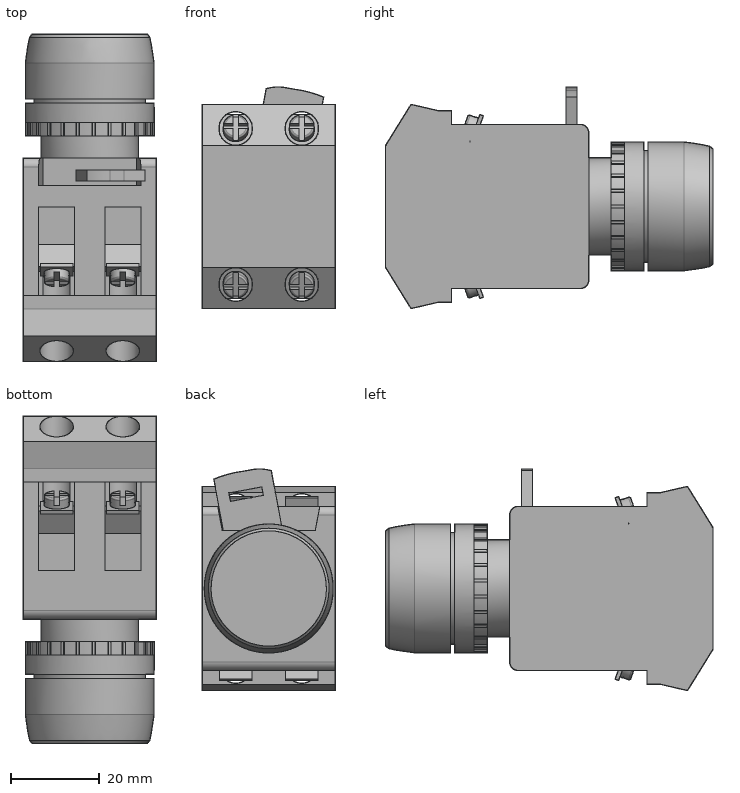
import cadquery as cq
import math

total_length = 73.8
body_width = 30.0
body_back = 45.8
body_half_height = 18.5
corner_radius = 2.0

face_half_height = 13.7
peak_half_height = 23.0
shoulder_half_height = 21.6
peak_y = 5.75
bend_y = 11.8
shoulder_y = 14.9

terminal_offset_x = 7.45
pocket_width = 8.1
pocket_back = 34.8
pocket_floor = 15.35
access_hole_radius = 3.8
access_hole_z = 17.6
wedge_back = 26.4
wedge_root = 12.9

clamp_tilt = 20
plate_width = 7.4
plate_thickness = 0.9
plate_height = 7.4
screw_y = 20.0
screw_z = 17.3
head_diameter = 5.7
head_height = 2.4
head_rounding = 0.45
slot_width = 1.2
slot_depth = 1.6

recess_front = 39.7
recess_floor = 13.05
recess_width = 2 * terminal_offset_x + pocket_width
recess_floor_width = 20.95
lever_front = 40.7
lever_thickness = 2.5
lever_tilt = 10.5
lever_foot_left = -3.1
lever_tip_right = 12.4
lever_tip_left_z = 26.6
lever_tip_right_z = 24.65
lever_crest = (1.5, 26.95)
lever_flat_start = (4.6, 26.65)
lever_flat_end = (7.7, 26.1)
lever_end_mid = (10.2, 25.45)
window_length = 7.5
window_height = 1.9
window_x = 5.1
window_z = 21.25

neck_radius = 11.0
button_radius = 14.55
button_end_radius = 13.0
crown_radius = 13.6
crown_y = 73.05
crown_mid_radius = 14.2
crown_mid_y = 70.1
crown_start = 67.2
groove_back = 59.1
groove_front = 58.2
groove_radius = 12.6
rib_ring_back = 53.9
rib_ring_front = 50.85
rib_count = 25
rib_width = 0.7
rib_root_radius = 14.2


def side_profile(points, width):
    """Closed (y, z) outline extruded along X, centred on X = 0."""
    return cq.Workplane("YZ").polyline(points).close().extrude(width / 2, both=True)


def make_body():
    upper = [
        (0, face_half_height),
        (peak_y, peak_half_height),
        (bend_y, shoulder_half_height),
        (shoulder_y, shoulder_half_height),
        (shoulder_y, body_half_height),
        (body_back, body_half_height),
    ]
    lower = [(y, -z) for y, z in reversed(upper)]
    body = side_profile(upper + lower, body_width)
    return body.faces(">Y").edges("|X").fillet(corner_radius)


def make_button():
    """Neck, ribbed ring and domed cap, revolved about the Y axis."""
    profile = (
        cq.Workplane("YZ")
        .moveTo(body_back - corner_radius, 0)
        .lineTo(body_back - corner_radius, neck_radius)
        .lineTo(rib_ring_front, neck_radius)
        .lineTo(rib_ring_front, rib_root_radius)
        .lineTo(rib_ring_back, rib_root_radius)
        .lineTo(rib_ring_back, button_radius)
        .lineTo(groove_front, button_radius)
        .lineTo(groove_front, groove_radius)
        .lineTo(groove_back, groove_radius)
        .lineTo(groove_back, button_radius)
        .lineTo(crown_start, button_radius)
        .threePointArc((crown_mid_y, crown_mid_radius), (crown_y, crown_radius))
        .lineTo(total_length, button_end_radius)
        .lineTo(total_length, 0)
        .close()
    )
    button = profile.revolve(360, (0, 0, 0), (1, 0, 0))

    rib_reach = math.sqrt(button_radius**2 - (rib_width / 2) ** 2)
    rib = cq.Workplane("XY").box(
        rib_reach - neck_radius, rib_ring_back - rib_ring_front, rib_width, centered=(False, False, True)
    ).translate((neck_radius, rib_ring_front, 0))
    for i in range(rib_count):
        button = button.union(rib.rotate((0, 0, 0), (0, 1, 0), i * 360 / rib_count))
    return button


def make_pocket(x):
    """Open pocket in the top face, reached from the front by a round access hole."""
    depth = body_half_height - pocket_floor
    pocket = cq.Workplane("XY").box(
        pocket_width, pocket_back - shoulder_y, depth, centered=(True, False, False)
    ).translate((x, shoulder_y, pocket_floor))
    hole = (
        cq.Workplane("XZ")
        .center(x, access_hole_z)
        .circle(access_hole_radius)
        .extrude(-screw_y - plate_thickness)
    )
    return pocket.union(hole)


def make_terminal(x):
    """Wedge, clamp plate and cross-slotted screw, leaning back by the clamp tilt."""
    lean = math.tan(math.radians(clamp_tilt))
    plate_back_y = screw_y + plate_thickness / math.cos(math.radians(clamp_tilt))

    def lean_y(z):
        return plate_back_y + (z - screw_z) * lean

    wedge = side_profile(
        [
            (lean_y(wedge_root), wedge_root),
            (lean_y(body_half_height), body_half_height),
            (wedge_back, pocket_floor),
            (wedge_back, wedge_root),
        ],
        pocket_width,
    ).translate((x, 0, 0))

    plate = cq.Workplane("XY").box(
        plate_width, plate_thickness, plate_height, centered=(True, False, True)
    )
    head = cq.Workplane("XZ").circle(head_diameter / 2).extrude(head_height)
    head = head.faces("<Y").edges().fillet(head_rounding)
    for length, height in ((slot_width, head_diameter), (head_diameter, slot_width)):
        slot = cq.Workplane("XY").box(length, slot_depth, height, centered=(True, False, True))
        head = head.cut(slot.translate((0, -head_height, 0)))
    clamp = plate.union(head).rotate((0, 0, 0), (1, 0, 0), -clamp_tilt)
    return wedge.union(clamp.translate((x, screw_y, screw_z)))


def make_recess():
    """Latch recess with drafted sides, open to the back of the block."""
    return (
        cq.Workplane("XZ", origin=(0, recess_front, 0))
        .moveTo(-recess_floor_width / 2, recess_floor)
        .lineTo(-recess_width / 2, body_half_height)
        .lineTo(recess_width / 2, body_half_height)
        .lineTo(recess_floor_width / 2, recess_floor)
        .close()
        .extrude(recess_front - body_back)
    )


def make_lever():
    """Leaning latch lever standing in the recess, with a window through it."""
    lean = math.tan(math.radians(lever_tilt))
    tip_left = lever_foot_left + (lever_tip_left_z - recess_floor) * lean
    foot_right = lever_tip_right - (lever_tip_right_z - recess_floor) * lean
    lever = (
        cq.Workplane("XZ", origin=(0, lever_front, 0))
        .moveTo(lever_foot_left, recess_floor)
        .lineTo(tip_left, lever_tip_left_z)
        .threePointArc(lever_crest, lever_flat_start)
        .lineTo(*lever_flat_end)
        .threePointArc(lever_end_mid, (lever_tip_right, lever_tip_right_z))
        .lineTo(foot_right, recess_floor)
        .close()
        .extrude(-lever_thickness)
    )
    window = (
        cq.Workplane("XY")
        .box(window_length, lever_thickness, window_height, centered=(True, False, True))
        .rotate((0, 0, 0), (0, 1, 0), lever_tilt)
        .translate((window_x, lever_front, window_z))
    )
    return lever.cut(window)


def both_sides(solid):
    """The solid together with its mirror image below the middle plane."""
    return solid.union(solid.mirror("XY"))


result = make_body().cut(make_recess())
for x in (-terminal_offset_x, terminal_offset_x):
    result = result.cut(both_sides(make_pocket(x)))
    result = result.union(both_sides(make_terminal(x)))
result = result.union(make_button()).union(make_lever())